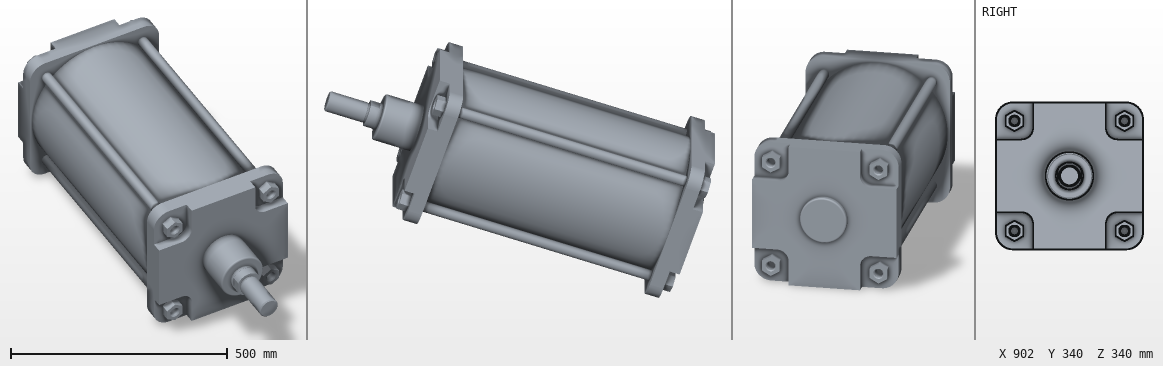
import cadquery as cq

OVERALL_LENGTH = 902.0
COVER_SIZE = 340.0
COVER_THICKNESS = 57.0

REAR_END = -OVERALL_LENGTH / 2
ROD_TIP = OVERALL_LENGTH / 2
REAR_BOSS_LENGTH = 15.0
REAR_FACE = REAR_END + REAR_BOSS_LENGTH
BARREL_LENGTH = 556.0
BARREL_REAR = REAR_FACE + COVER_THICKNESS
BARREL_FRONT = BARREL_REAR + BARREL_LENGTH
FRONT_FACE = BARREL_FRONT + COVER_THICKNESS

TIE_ROD_OFFSET = 127.0
COVER_CORNER_RADIUS = 40.0
POCKET_SIZE = 2 * (COVER_SIZE / 2 - TIE_ROD_OFFSET)
POCKET_DEPTH = 24.0
POCKET_RADIUS = 27.0
BOSS_DIAMETER = 110.0
BOSS_FILLET = 4.0
NECK_LENGTH = 91.0

BARREL_DIAMETER = 330.0

TIE_ROD_DIAMETER = 25.0
TIE_ROD_BORE = 20.0
TIE_ROD_BORE_DEPTH = 30.0
TIE_ROD_BORE_CHAMFER = 2.5
NUT_ACROSS_FLATS = 41.0
NUT_HEIGHT = 22.0

ROD_DIAMETER = 63.0
COLLAR_DIAMETER = 62.0
COLLAR_ACROSS_FLATS = 55.0
COLLAR_LENGTH = 22.0
THREAD_DIAMETER = 48.0
THREAD_CHAMFER = 2.5
RELIEF_DIAMETER = 46.0
RELIEF_LENGTH = 4.0
SHOULDER_REACH = 120.0
SHOULDER = FRONT_FACE + SHOULDER_REACH

CORNERS = [(y * TIE_ROD_OFFSET, z * TIE_ROD_OFFSET) for y in (-1, 1) for z in (-1, 1)]


def section(x):
    """Sketch plane across the cylinder axis: local x is Y, local y is Z, normal is +X."""
    return cq.Workplane("YZ", origin=(x, 0, 0))


def cylinder(start, end, diameter):
    return section(start).circle(diameter / 2).extrude(end - start)


def make_cover(inner, outer):
    """Square cover with a corner pocket round each tie rod nut and the tie rod holes."""
    outward = 1 if outer > inner else -1
    cover = (
        section(inner)
        .rect(COVER_SIZE, COVER_SIZE)
        .extrude(outer - inner)
        .edges("|X")
        .fillet(COVER_CORNER_RADIUS)
    )
    cutter_size = 2 * POCKET_SIZE
    cutter_offset = COVER_SIZE / 2 - POCKET_SIZE + cutter_size / 2
    pocket_centres = [(y * cutter_offset, z * cutter_offset) for y in (-1, 1) for z in (-1, 1)]
    pockets = (
        section(outer)
        .pushPoints(pocket_centres)
        .rect(cutter_size, cutter_size)
        .extrude(-outward * POCKET_DEPTH)
        .edges("|X")
        .fillet(POCKET_RADIUS)
    )
    holes = section(inner).pushPoints(CORNERS).circle(TIE_ROD_DIAMETER / 2).extrude(outer - inner)
    return cover.cut(pockets).cut(holes)


def make_rear_cover():
    boss = cylinder(REAR_END, REAR_FACE, BOSS_DIAMETER).faces("<X").fillet(BOSS_FILLET)
    return make_cover(BARREL_REAR, REAR_FACE).union(boss)


def make_front_cover():
    neck_end = FRONT_FACE + NECK_LENGTH
    neck = cylinder(FRONT_FACE, neck_end, BOSS_DIAMETER).faces(">X").fillet(BOSS_FILLET)
    bore = cylinder(BARREL_FRONT, neck_end, ROD_DIAMETER)
    return make_cover(BARREL_FRONT, FRONT_FACE).union(neck).cut(bore)


def make_barrel():
    return cylinder(BARREL_REAR, BARREL_FRONT, BARREL_DIAMETER)


def make_tie_rod(y, z):
    """Tie rod through both covers, with a nut seated on each pocket floor and bored ends."""
    rear_seat = REAR_FACE + POCKET_DEPTH
    front_seat = FRONT_FACE - POCKET_DEPTH
    rod = cylinder(rear_seat, front_seat, TIE_ROD_DIAMETER)
    for seat, outward in ((rear_seat, -1), (front_seat, 1)):
        nut = (
            section(seat)
            .polygon(6, NUT_ACROSS_FLATS, circumscribed=True)
            .extrude(outward * NUT_HEIGHT)
        )
        end = seat + outward * NUT_HEIGHT
        bore = cylinder(end, end - outward * TIE_ROD_BORE_DEPTH, TIE_ROD_BORE)
        rod = rod.union(nut).cut(bore)
    rod = rod.faces("<X or >X").edges("%CIRCLE").chamfer(TIE_ROD_BORE_CHAMFER)
    return rod.translate((0, y, z))


def make_piston_rod():
    """Rod through the front cover, with a wrench collar and a threaded end."""
    collar_start = SHOULDER - COLLAR_LENGTH
    rod = cylinder(BARREL_FRONT, collar_start, ROD_DIAMETER)
    collar = cylinder(collar_start, SHOULDER, COLLAR_DIAMETER).intersect(
        section(collar_start).rect(COLLAR_ACROSS_FLATS, COLLAR_DIAMETER).extrude(COLLAR_LENGTH)
    )
    thread_start = SHOULDER + RELIEF_LENGTH
    relief = cylinder(SHOULDER, thread_start, RELIEF_DIAMETER)
    thread = (
        cylinder(thread_start, ROD_TIP, THREAD_DIAMETER)
        .faces("<X")
        .chamfer((THREAD_DIAMETER - RELIEF_DIAMETER) / 2)
        .faces(">X")
        .chamfer(THREAD_CHAMFER)
    )
    return rod.union(collar).union(relief).union(thread)


rear_cover = make_rear_cover()
front_cover = make_front_cover()
barrel = make_barrel()
tie_rods = [make_tie_rod(y, z) for y, z in CORNERS]
piston_rod = make_piston_rod()

result = cq.Compound.makeCompound(
    [
        rear_cover.val(),
        front_cover.val(),
        barrel.val(),
        *[tie_rod.val() for tie_rod in tie_rods],
        piston_rod.val(),
    ]
)